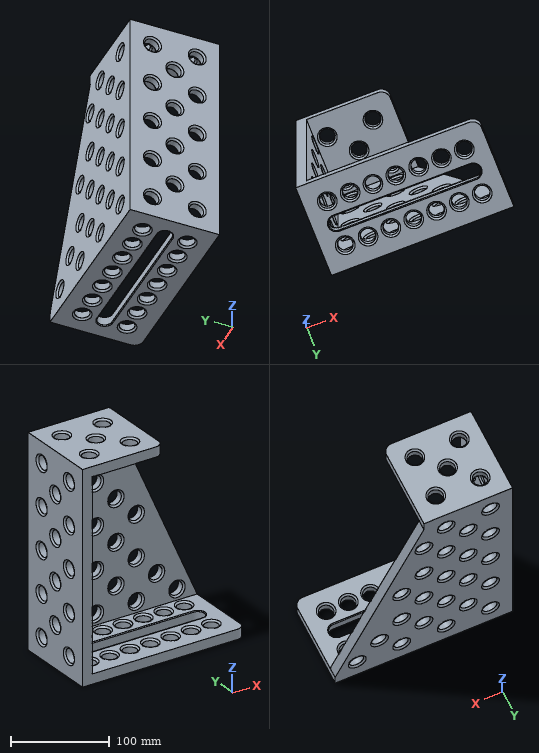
import cadquery as cq

base_length = 200.0
top_length = 100.0
depth = 100.0
height = 250.0
wall = 12.0
corner_radius = 10.0

pitch = 25.0
hole_diameter = 16.0
countersink = 2.0

slot_width = hole_diameter
slot_chamfer = 1.0

front_row = 1
middle_row = 2
rear_row = 3
row_count = round(height / pitch) - 1
base_column_count = round(base_length / pitch) - 1
slope_margin = 15.0


def shelf(length, bottom):
    """Horizontal plate with its free front corner rounded."""
    plate = cq.Workplane("XY").box(length, depth, wall, centered=False)
    plate = plate.edges("|Z and >X and <Y").fillet(corner_radius)
    return plate.translate((0, 0, bottom))


def side_wall():
    """Upright plate on the -X side."""
    return cq.Workplane("XY").box(wall, depth, height, centered=False)


def back_web():
    """Upright plate on the +Y side, sloping from the top plate down to the base."""
    outline = [
        (0, 0),
        (base_length, 0),
        (base_length, wall),
        (top_length, height - wall),
        (top_length, height),
        (0, height),
    ]
    web = cq.Workplane("XZ").polyline(outline).close().extrude(wall)
    return web.translate((0, depth, 0))


def slope_x(z):
    """X of the sloped edge of the back web at height z."""
    fraction = (z - wall) / (height - 2 * wall)
    return base_length - fraction * (base_length - top_length)


def hole_cutter(start, direction):
    """Through-hole tool for one plate, widened by a 45 degree countersink at each end."""
    radius = hole_diameter / 2
    mouth = radius + countersink
    profile = [
        (0, 0),
        (mouth, 0),
        (radius, countersink),
        (radius, wall - countersink),
        (mouth, wall),
        (0, wall),
    ]
    plane = cq.Plane(origin=start, normal=direction)
    tool = cq.Workplane("XZ").polyline(profile).close().revolve(360, (0, 0, 0), (0, 1, 0))
    return tool.val().moved(cq.Location(plane))


def top_holes():
    """Four corner holes and a centre hole in the top plate."""
    places = [
        (front_row, front_row),
        (front_row, rear_row),
        (rear_row, front_row),
        (rear_row, rear_row),
        (middle_row, middle_row),
    ]
    return [hole_cutter((i * pitch, j * pitch, height - wall), (0, 0, 1)) for i, j in places]


def base_holes():
    """Two straight rows of holes, one each side of the slot."""
    cutters = []
    for column in range(1, base_column_count + 1):
        for row in (front_row, rear_row):
            cutters.append(hole_cutter((column * pitch, row * pitch, 0), (0, 0, 1)))
    return cutters


def side_holes():
    """Rows of two holes alternating with single middle holes."""
    cutters = []
    for row in range(1, row_count + 1):
        columns = (front_row, rear_row) if row % 2 else (middle_row,)
        for column in columns:
            cutters.append(hole_cutter((0, column * pitch, row * pitch), (1, 0, 0)))
    return cutters


def back_holes():
    """Staggered rows of holes, each row ending short of the sloped edge."""
    cutters = []
    for row in range(1, row_count + 1):
        z = row * pitch
        first_column = 1 if row % 2 else 2
        for column in range(first_column, base_column_count + 1, 2):
            x = column * pitch
            if x + slope_margin <= slope_x(z):
                cutters.append(hole_cutter((x, depth - wall, z), (0, 1, 0)))
    return cutters


def base_slot():
    """Round-ended slot tool through the base plate, flared by a chamfer at each mouth."""
    first_x = pitch
    last_x = base_column_count * pitch
    center = ((first_x + last_x) / 2, depth / 2)
    mouth_width = slot_width + 2 * slot_chamfer
    mouth_length = last_x - first_x + mouth_width
    throat_length = last_x - first_x + slot_width
    tool = cq.Workplane("XY").center(*center).slot2D(throat_length, slot_width).extrude(wall)
    lower_mouth = cq.Workplane("XY").center(*center)
    lower_mouth = lower_mouth.slot2D(mouth_length, mouth_width).extrude(slot_chamfer, taper=45)
    upper_mouth = lower_mouth.mirror("XY").translate((0, 0, wall))
    return tool.union(lower_mouth).union(upper_mouth)


body = side_wall().union(back_web())
body = body.union(shelf(base_length, 0)).union(shelf(top_length, height - wall))
body = body.cut(base_slot())
cutters = top_holes() + base_holes() + side_holes() + back_holes()
result = cq.Workplane(body.val().cut(*cutters))